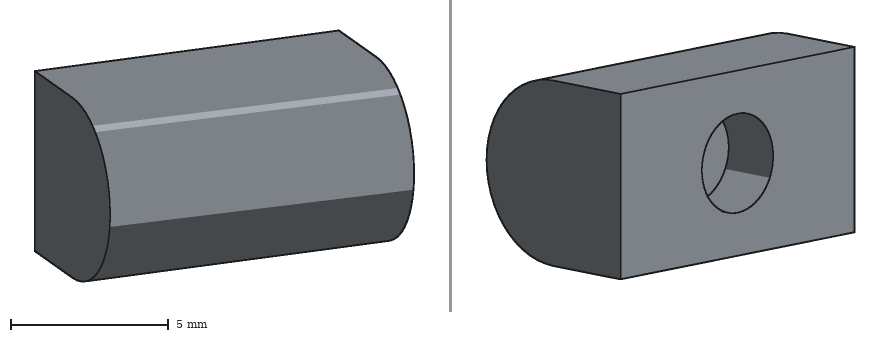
import cadquery as cq

length = 10.5
height = 6.0
radius = height / 2
flat_depth = radius

hole_diameter = 3.2
hole_depth = 2.0


def make_bar():
    """D-shaped section centred on Z = 0, extruded along Y."""
    return (
        cq.Workplane("XZ")
        .moveTo(0, -radius)
        .lineTo(flat_depth, -radius)
        .threePointArc((flat_depth + radius, 0), (flat_depth, radius))
        .lineTo(0, radius)
        .close()
        .extrude(length / 2, both=True)
    )


def make_hole():
    """Flat-bottomed cylinder running in +X from the flat face."""
    return cq.Workplane("YZ").circle(hole_diameter / 2).extrude(hole_depth)


result = make_bar().cut(make_hole())